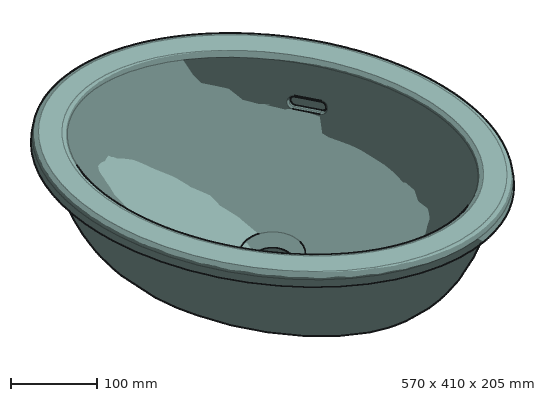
import cadquery as cq
import math

length = 570.0
width = 410.0
total_height = 205.0
rim_height = 17.0
rim_draft = 2.0
rim_edge_radius = 7.5

body_half_length = 260.5
body_half_width = 178.0
body_inset = 98.0
body_arc_radius = 245.0

mouth_half_length = 244.5
mouth_half_width = 164.0
mouth_edge_radius = 7.0
basin_depth = 158.0
basin_arc_radius = 245.0
wall_sections = 9

drain_seat_radius = 38.0
drain_hole_radius = 24.5
drain_seat_depth = 12.5

slot_length = 44.5
slot_height = 12.0
slot_depth = 10.0
slot_lip_radius = 2.0
slot_center_y = 143.5
slot_center_z = -51.0
slot_tilt = 25.0


def arc_point(start, end, radius, fraction):
    """Point on the outward-bulging (radius, Z) arc that runs down from start to end."""
    run = start[0] - end[0]
    drop = start[1] - end[1]
    chord = math.hypot(run, drop)
    chord_angle = math.atan2(drop, run)
    half_sweep = math.asin(chord / (2 * radius))
    normal_start = math.pi / 2 - chord_angle - half_sweep
    normal = normal_start + 2 * half_sweep * fraction
    center_r = start[0] - radius * math.cos(normal_start)
    center_z = start[1] + radius * math.sin(normal_start)
    return center_r + radius * math.cos(normal), center_z - radius * math.sin(normal)


def ellipse_wire(half_x, half_y, z):
    return cq.Workplane("XY", origin=(0, 0, z)).ellipse(half_x, half_y).wires().val()


def bowl(top_axes, bottom_axes, top_z, bottom_z, arc_radius):
    """Solid with elliptical sections; the short half axis follows an arc from top to bottom."""
    start = (top_axes[1], top_z)
    end = (bottom_axes[1], bottom_z)
    sections = []
    for i in range(wall_sections):
        half_y, z = arc_point(start, end, arc_radius, i / (wall_sections - 1))
        share = (half_y - bottom_axes[1]) / (top_axes[1] - bottom_axes[1])
        half_x = bottom_axes[0] + share * (top_axes[0] - bottom_axes[0])
        sections.append(ellipse_wire(half_x, half_y, z))
    return cq.Workplane(cq.Solid.makeLoft(sections))


def make_rim():
    bottom = ellipse_wire(length / 2, width / 2, -rim_height)
    top = ellipse_wire(length / 2 - rim_draft, width / 2 - rim_draft, 0)
    rim = cq.Workplane(cq.Solid.makeLoft([bottom, top]))
    return rim.faces(">Z").edges().fillet(rim_edge_radius)


def make_body():
    return bowl(
        (body_half_length, body_half_width),
        (body_half_length - body_inset, body_half_width - body_inset),
        -rim_height,
        -total_height,
        body_arc_radius,
    )


def make_basin():
    return bowl(
        (mouth_half_length, mouth_half_width),
        (drain_seat_radius, drain_seat_radius),
        0,
        -basin_depth,
        basin_arc_radius,
    )


def make_drain():
    seat = cq.Solid.makeCone(
        drain_hole_radius,
        drain_seat_radius,
        drain_seat_depth,
        pnt=cq.Vector(0, 0, -basin_depth - drain_seat_depth),
    )
    hole = cq.Workplane("XY", origin=(0, 0, -total_height)).circle(drain_hole_radius)
    return hole.extrude(total_height - basin_depth).union(cq.Workplane(seat))


def make_slot():
    tilt = math.radians(slot_tilt)
    into_wall = cq.Plane(
        origin=(0, slot_center_y, slot_center_z),
        xDir=(1, 0, 0),
        normal=(0, math.cos(tilt), -math.sin(tilt)),
    )
    return cq.Workplane(into_wall).slot2D(slot_length, slot_height).extrude(slot_depth, both=True)


def make_basin_with_slot():
    """Basin void with the overflow slot, its lip rounded where it breaks the basin wall."""
    void = make_basin().union(make_slot())
    return round_inner_edge(void, "%BSPLINE", slot_lip_radius)


def round_inner_edge(solid, face_selector, radius):
    """Round the edge of the opening that pierces the selected face."""
    opening = solid.faces(face_selector).val().innerWires()[0]
    return solid.newObject(opening.Edges()).fillet(radius)


result = make_rim().union(make_body()).cut(make_basin_with_slot())
result = round_inner_edge(result, ">Z", mouth_edge_radius)
result = result.cut(make_drain())